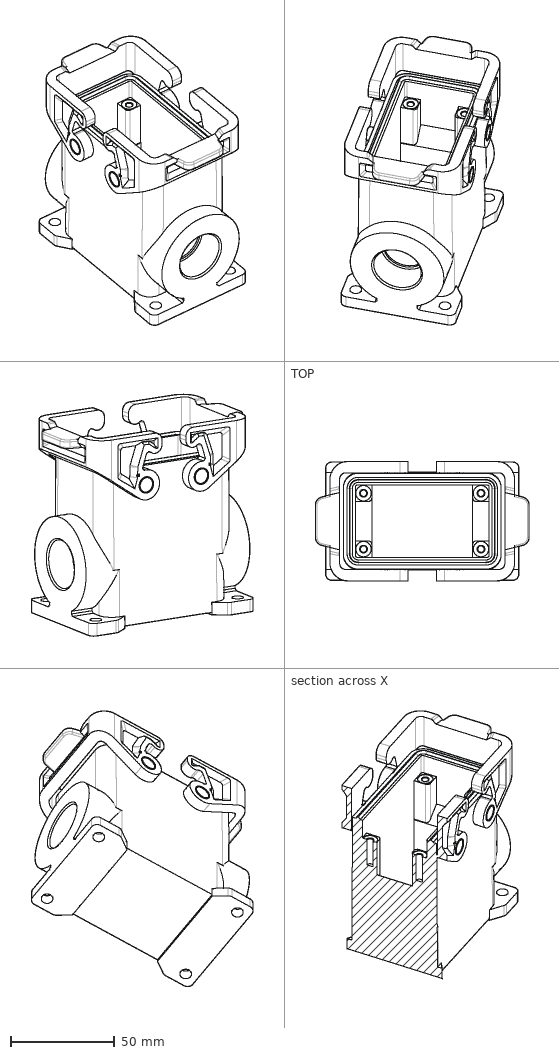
import cadquery as cq
import math

TOP_HALF_X = 38.2
BASE_HALF_X = 35.0
RIM_HALF_Y = 23.2
BOTTOM_HALF_Y = 23.7
BODY_BOTTOM_Z = 1.2
RIM_Z = 79.9
BODY_CORNER_R = 7.2

CAVITY_HALF_X = 32.4
CAVITY_HALF_Y = 17.5
CAVITY_CORNER_R = 1.0
FLOOR_Z = 4.1
FLOOR_HALF_X = 24.2
LEDGE_SLOPE = math.radians(40)

GASKET_HALF_X = 36.3
GASKET_HALF_Y = 21.2
GASKET_CORNER_R = 5.4
GASKET_WIDTH = 2.5
GASKET_HEIGHT = 1.2
GASKET_BEVEL = 1.1

POST_SIZE = 8.0
POST_TOP_Z = 69.7
POST_CORNER_R = 1.7
POST_SEAT_R = 3.7
POST_SEAT_DEPTH = 0.3
POST_HOLE_R = 1.6
POST_HOLE_CHAMFER = 0.3
POST_HOLE_DEPTH = 15.5

ENTRY_Z = 29.9
ENTRY_R = 23.5
ENTRY_FACE_X = 46.8
ENTRY_ROOT_X = BASE_HALF_X - BODY_CORNER_R
BORE_R = 11.9
BORE_DEPTH = 14.5
BORE_CHAMFER = 0.8
KNOCKOUT_R = 10.6
KNOCKOUT_DEPTH = 1.0
WEB_HALF_Y = 10.0
WEB_FLARE = 1.0

FOOT_HALF_Y = 28.7
FOOT_THICKNESS = 6.3
FOOT_INNER_X = 24.8
FOOT_SHOULDER_X = 32.0
FOOT_SHOULDER_R = 3.1
FOOT_CORNER_R = 3.1
FOOT_HOLE_R = 2.8
FOOT_HOLE_INSET = 6.3

LEVER_HALF_X = 44.7
LEVER_HALF_Y = 29.0
LEVER_INNER_HALF_X = 40.0
LEVER_INNER_HALF_Y = 23.4
LEVER_CORNER_R = 9.0
LEVER_INNER_R = 3.0
LEVER_TOP_Z = 96.9
LEVER_END_Z = 82.7
PIVOT_X = 15.7
PIVOT_Z = 71.7
LUG_R = 7.5
LEVER_SLOPE = math.radians(34)
HOOK_TIP_X = 6.8
HOOK_R = 4.0
HOOK_HEIGHT = 10.0
HOOK_WRAP = math.radians(20)
THROAT_ROOF = (-13.5, 87.9)
THROAT_BEND = (-15.0, 87.9)
THROAT_SIDE = (-15.9, 86.7)
THROAT_FOOT = (-17.9, 80.3)
THROAT_CORNER_X = 16.8
PIN_R = 4.0
PIN_EMBED = 1.0
PIN_GROOVE_WIDTH = 0.4
PIN_GROOVE_DEPTH = 0.3

SIDE_POCKET_DEPTH = 2.5
SIDE_POCKET_OUTER_X = 32.0
SIDE_POCKET_CORNER_R = 2.6
POCKET_TAPER = 50.0
LEVER_BORDER = 2.5
STRUT_TOP_X = 16.1
STRUT_BEND = (-20.7, 81.2)
STRUT_FOOT = (-20.8, 76.0)
POCKET_TIP = (-22.4, 70.7)
POCKET_OUTER_LOW_Z = 77.0
HOOK_FIELD_TIP = (-10.5, 89.2)
HOOK_FIELD_ROOT = (-15.0, 92.4)
HOOK_GROOVE_START_X = 20.7
HOOK_GROOVE_WIDTH = 2.5
HOOK_GROOVE_DEPTH = 0.9
HOOK_POCKET_DEPTH = 1.2
RELIEF_INNER_X = 19.9
RELIEF_OUTER_X = 22.8
RELIEF_TOP_Z = 77.7
RELIEF_HEIGHT = 1.2
RELIEF_DEPTH = 0.4
END_POCKET_WIDTH = 38.5
END_POCKET_BOTTOM_Z = 84.4
END_POCKET_TOP_Z = 93.2
END_POCKET_DEPTH = 2.0
END_POCKET_R = 1.3

TAB_TIP_X = 51.8
TAB_TIP_HALF_Y = 11.0
TAB_ROOT_HALF_Y = 13.9
TAB_TOP_Z = 94.8
TAB_THICKNESS = 4.3
TAB_CORNER_R = 4.1
TAB_EDGE_R = 0.8
NOTCH_TAPER = 47.0
NOTCH_EDGE_R = 1.6
NOTCH_SPREAD = 4.1

PICK_MARGIN = 1.0


def both_sides(shape, plane):
    return shape.union(shape.mirror(plane))


def four_corners(shape):
    return both_sides(both_sides(shape, "XZ"), "YZ")


def rounded_block(half_x, half_y, z_bottom, z_top, radius):
    return (cq.Workplane("XY").workplane(offset=z_bottom)
            .rect(2 * half_x, 2 * half_y).extrude(z_top - z_bottom)
            .edges("|Z").fillet(radius))


def drafted_block(half_x, z_bottom, z_top):
    """Block whose long sides lean inward from the body bottom to the rim."""
    def half_y(z):
        rise = (z - BODY_BOTTOM_Z) / (RIM_Z - BODY_BOTTOM_Z)
        return BOTTOM_HALF_Y + rise * (RIM_HALF_Y - BOTTOM_HALF_Y)

    low, high = half_y(z_bottom), half_y(z_top)
    return (cq.Workplane("YZ")
            .polyline([(-low, z_bottom), (low, z_bottom), (high, z_top), (-high, z_top)]).close()
            .extrude(half_x, both=True)
            .edges("not(|X or |Y)").fillet(BODY_CORNER_R))


def make_foot():
    foot = (cq.Workplane("XY")
            .polyline([
                (-ENTRY_FACE_X, -FOOT_HALF_Y), (-FOOT_SHOULDER_X, -FOOT_HALF_Y),
                (-FOOT_INNER_X, -BOTTOM_HALF_Y), (-FOOT_INNER_X, BOTTOM_HALF_Y),
                (-FOOT_SHOULDER_X, FOOT_HALF_Y), (-ENTRY_FACE_X, FOOT_HALF_Y),
            ]).close().extrude(FOOT_THICKNESS))
    foot = foot.edges("|Z and <X").fillet(FOOT_CORNER_R)
    shoulder = cq.selectors.BoxSelector(
        (-FOOT_SHOULDER_X - PICK_MARGIN, -FOOT_HALF_Y - PICK_MARGIN, 0),
        (-FOOT_SHOULDER_X + PICK_MARGIN, FOOT_HALF_Y + PICK_MARGIN, FOOT_THICKNESS))
    foot = foot.edges("|Z").edges(shoulder).fillet(FOOT_SHOULDER_R)
    hole_x = -ENTRY_FACE_X + FOOT_HOLE_INSET
    hole_y = FOOT_HALF_Y - FOOT_HOLE_INSET
    return foot.cut(cq.Workplane("XY").pushPoints([(hole_x, hole_y), (hole_x, -hole_y)])
                    .circle(FOOT_HOLE_R).extrude(FOOT_THICKNESS))


def make_entry():
    """Round cable entry on the -X end with the web that carries it on the foot."""
    length = ENTRY_FACE_X - ENTRY_ROOT_X
    face = cq.Workplane("YZ").workplane(offset=-ENTRY_FACE_X)
    barrel = face.center(0, ENTRY_Z).circle(ENTRY_R).extrude(length)
    web = (face.polyline([
        (-WEB_HALF_Y - WEB_FLARE, FOOT_THICKNESS), (-WEB_HALF_Y, FOOT_THICKNESS + WEB_FLARE),
        (-WEB_HALF_Y, ENTRY_Z), (WEB_HALF_Y, ENTRY_Z),
        (WEB_HALF_Y, FOOT_THICKNESS + WEB_FLARE), (WEB_HALF_Y + WEB_FLARE, FOOT_THICKNESS),
    ]).close().extrude(length))
    return barrel.union(web)


def make_bore():
    """Blind bore of the -X entry: chamfered mouth, main bore and knockout recess."""
    mouth_x = -ENTRY_FACE_X
    end_x = mouth_x + BORE_DEPTH
    return (cq.Workplane("XZ")
            .polyline([
                (mouth_x, 0), (mouth_x, BORE_R + BORE_CHAMFER), (mouth_x + BORE_CHAMFER, BORE_R),
                (end_x, BORE_R), (end_x, KNOCKOUT_R),
                (end_x + KNOCKOUT_DEPTH, KNOCKOUT_R), (end_x + KNOCKOUT_DEPTH, 0),
            ]).close()
            .revolve(360, (0, 0, 0), (1, 0, 0))
            .translate((0, 0, ENTRY_Z)))


def make_post():
    """Screw post in the -X, -Y corner of the cavity."""
    center_x = -CAVITY_HALF_X + POST_SIZE / 2
    center_y = -CAVITY_HALF_Y + POST_SIZE / 2
    post = (cq.Workplane("XY")
            .box(POST_SIZE + CAVITY_CORNER_R, POST_SIZE + CAVITY_CORNER_R, POST_TOP_Z - FLOOR_Z,
                 centered=(True, True, False))
            .edges("|Z and >X and >Y").fillet(POST_CORNER_R)
            .translate((center_x - CAVITY_CORNER_R / 2, center_y - CAVITY_CORNER_R / 2, FLOOR_Z)))
    top = cq.Workplane("XY").workplane(offset=POST_TOP_Z).center(center_x, center_y)
    post = post.cut(top.circle(POST_SEAT_R).extrude(-POST_SEAT_DEPTH))
    post = post.cut(top.circle(POST_HOLE_R).extrude(-POST_HOLE_DEPTH))
    seat = top.workplane(offset=-POST_SEAT_DEPTH)
    return post.cut(seat.circle(POST_HOLE_R + POST_HOLE_CHAMFER).extrude(-POST_HOLE_CHAMFER, taper=45))


def make_end_wall():
    """Thick wall closing the -X cable entry, with a sloped ledge on top."""
    wall_top_z = ENTRY_Z + ENTRY_R
    ledge_drop = (CAVITY_HALF_X - FLOOR_HALF_X) * math.tan(LEDGE_SLOPE)
    return (cq.Workplane("XZ")
            .polyline([(-CAVITY_HALF_X, wall_top_z), (-FLOOR_HALF_X, wall_top_z - ledge_drop),
                       (-FLOOR_HALF_X, FLOOR_Z), (-CAVITY_HALF_X, FLOOR_Z)]).close()
            .extrude(CAVITY_HALF_Y, both=True))


def make_gasket():
    top_z = RIM_Z + GASKET_HEIGHT
    outer = rounded_block(GASKET_HALF_X, GASKET_HALF_Y, RIM_Z, top_z, GASKET_CORNER_R)
    inner = rounded_block(GASKET_HALF_X - GASKET_WIDTH, GASKET_HALF_Y - GASKET_WIDTH,
                          RIM_Z, top_z, GASKET_CORNER_R - GASKET_WIDTH)
    return outer.cut(inner).faces(">Z").edges().chamfer(GASKET_BEVEL)


def make_housing():
    body = drafted_block(TOP_HALF_X, ENTRY_Z, RIM_Z)
    body = body.union(drafted_block(BASE_HALF_X, BODY_BOTTOM_Z, ENTRY_Z))
    body = body.union(both_sides(make_foot(), "YZ"))
    body = body.union(both_sides(make_entry(), "YZ"))
    body = body.cut(rounded_block(CAVITY_HALF_X, CAVITY_HALF_Y, FLOOR_Z, RIM_Z, CAVITY_CORNER_R))
    body = body.union(both_sides(make_end_wall(), "YZ"))
    body = body.union(four_corners(make_post()))
    body = body.cut(both_sides(make_bore(), "YZ"))
    return body.union(make_gasket())


def make_lever_profile():
    """Side outline of the -X lever, with hook and pivot lug, through the full width."""
    hook_x = -HOOK_TIP_X - HOOK_R
    hook_low_z = LEVER_TOP_Z - HOOK_HEIGHT + HOOK_R
    diagonal = HOOK_R * math.sqrt(0.5)
    lug_top_z = PIVOT_Z + LUG_R
    tangent_point = (-PIVOT_X - LUG_R * math.sin(LEVER_SLOPE), PIVOT_Z - LUG_R * math.cos(LEVER_SLOPE))
    return (cq.Workplane("XZ")
            .moveTo(-LEVER_HALF_X, LEVER_END_Z)
            .lineTo(-LEVER_HALF_X, LEVER_TOP_Z)
            .lineTo(hook_x, LEVER_TOP_Z)
            .radiusArc((-HOOK_TIP_X, LEVER_TOP_Z - HOOK_R), HOOK_R)
            .lineTo(-HOOK_TIP_X, hook_low_z)
            .threePointArc((hook_x + diagonal, hook_low_z - diagonal),
                           (hook_x - HOOK_R * math.sin(HOOK_WRAP),
                            hook_low_z - HOOK_R * math.cos(HOOK_WRAP)))
            .lineTo(*THROAT_ROOF)
            .threePointArc(THROAT_BEND, THROAT_SIDE)
            .lineTo(*THROAT_FOOT)
            .lineTo(-THROAT_CORNER_X, lug_top_z)
            .lineTo(-PIVOT_X, lug_top_z)
            .threePointArc((-PIVOT_X + LUG_R, PIVOT_Z), tangent_point)
            .close()
            .extrude(LEVER_HALF_Y, both=True))


def tapered_side_pocket(points, depth):
    return (cq.Workplane("XZ", origin=(0, -LEVER_HALF_Y, 0))
            .polyline(points).close().extrude(-depth, taper=POCKET_TAPER))


def rectangle(x_low, x_high, z_low, z_high):
    return [(x_low, z_high), (x_high, z_high), (x_high, z_low), (x_low, z_low)]


def make_side_pocket():
    """Pocket in the -Y arm: main field, groove to the hook, hook field and side relief."""
    top = LEVER_TOP_Z - LEVER_BORDER
    right = -HOOK_TIP_X - LEVER_BORDER
    left = -SIDE_POCKET_OUTER_X
    main = tapered_side_pocket(
        [(left, top), (-STRUT_TOP_X, top), STRUT_BEND, STRUT_FOOT, POCKET_TIP, (left, POCKET_OUTER_LOW_Z)],
        SIDE_POCKET_DEPTH)
    main = main.edges("not #Y").edges("<X").fillet(SIDE_POCKET_CORNER_R)
    groove = tapered_side_pocket(
        rectangle(-HOOK_GROOVE_START_X, right, top - HOOK_GROOVE_WIDTH, top), HOOK_GROOVE_DEPTH)
    hook = tapered_side_pocket(
        [(HOOK_FIELD_ROOT[0], top), (right, top), (right, HOOK_FIELD_TIP[1]),
         HOOK_FIELD_TIP, HOOK_FIELD_ROOT],
        HOOK_POCKET_DEPTH)
    relief = tapered_side_pocket(
        rectangle(-RELIEF_OUTER_X, -RELIEF_INNER_X, RELIEF_TOP_Z - RELIEF_HEIGHT, RELIEF_TOP_Z), RELIEF_DEPTH)
    return main.union(groove).union(hook).union(relief)


def make_end_pocket():
    height = END_POCKET_TOP_Z - END_POCKET_BOTTOM_Z
    return (cq.Workplane("YZ", origin=(-LEVER_HALF_X, 0, END_POCKET_BOTTOM_Z + height / 2))
            .rect(END_POCKET_WIDTH, height)
            .extrude(END_POCKET_DEPTH, taper=POCKET_TAPER)
            .edges("not #X").fillet(END_POCKET_R))


def tab_outline(z):
    return (cq.Workplane("XY").workplane(offset=z)
            .polyline([(-LEVER_INNER_HALF_X, -TAB_ROOT_HALF_Y), (-LEVER_INNER_HALF_X, TAB_ROOT_HALF_Y),
                       (-TAB_TIP_X, TAB_TIP_HALF_Y), (-TAB_TIP_X, -TAB_TIP_HALF_Y)]).close())


def make_tab():
    tab = tab_outline(TAB_TOP_Z - TAB_THICKNESS).extrude(TAB_THICKNESS)
    tab = tab.edges("|Z and <X").fillet(TAB_CORNER_R)
    return tab.faces("<Z or >Z").edges("not >X").fillet(TAB_EDGE_R)


def make_lever():
    lever = rounded_block(LEVER_HALF_X, LEVER_HALF_Y, 0, LEVER_TOP_Z, LEVER_CORNER_R)
    lever = lever.cut(rounded_block(LEVER_INNER_HALF_X, LEVER_INNER_HALF_Y, 0, LEVER_TOP_Z, LEVER_INNER_R))
    lever = lever.intersect(make_lever_profile())
    lever = lever.cut(both_sides(make_side_pocket(), "XZ"))
    lever = lever.cut(make_end_pocket())
    lever = lever.cut(tab_outline(TAB_TOP_Z).extrude(LEVER_TOP_Z - TAB_TOP_Z, taper=-NOTCH_TAPER))
    for side in (-1, 1):
        notch_rim = cq.selectors.BoxSelector(
            (-LEVER_HALF_X + PICK_MARGIN, side * TAB_ROOT_HALF_Y, LEVER_TOP_Z - PICK_MARGIN),
            (-LEVER_INNER_HALF_X - PICK_MARGIN, side * (TAB_ROOT_HALF_Y + NOTCH_SPREAD),
             LEVER_TOP_Z + PICK_MARGIN))
        lever = lever.edges(notch_rim).fillet(NOTCH_EDGE_R)
    return lever.union(make_tab())


def make_pin():
    """Pivot pin from the -Y housing wall through the lug."""
    root_y = -RIM_HALF_Y + PIN_EMBED
    return (cq.Workplane("XZ", origin=(-PIVOT_X, root_y, PIVOT_Z))
            .circle(PIN_R).extrude(LEVER_HALF_Y + root_y))


def make_pin_groove():
    """Shallow ring around the pin head on the -Y face of the lug."""
    return (cq.Workplane("XZ", origin=(-PIVOT_X, -LEVER_HALF_Y, PIVOT_Z))
            .circle(PIN_R).circle(PIN_R - PIN_GROOVE_WIDTH).extrude(-PIN_GROOVE_DEPTH))


result = make_housing().union(both_sides(make_lever(), "YZ"))
result = result.union(four_corners(make_pin()))
result = result.cut(four_corners(make_pin_groove()))